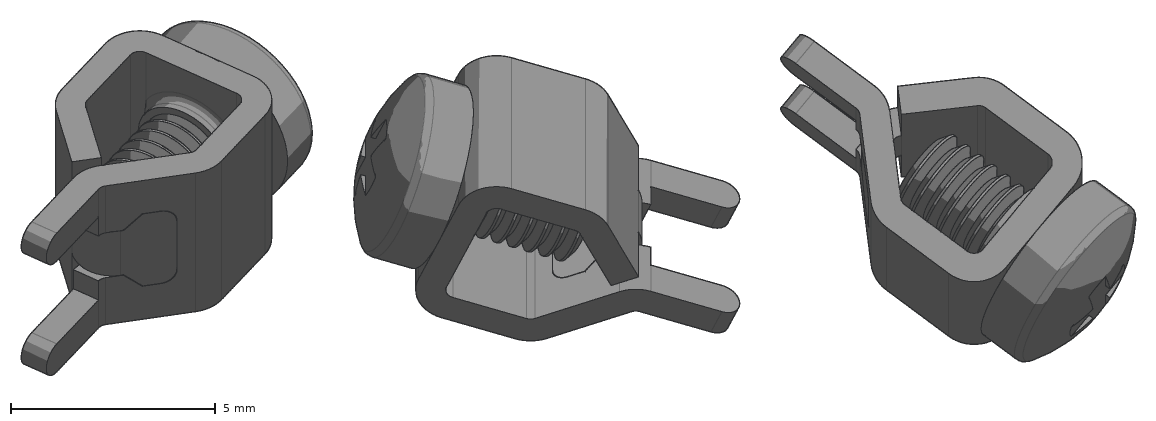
import cadquery as cq
import math


width = 4.66
sheet = 0.735
inner_bend = 0.27
outer_bend = inner_bend + sheet
half_width = width / 2
side_end = 2.94
along = math.cos(math.radians(45))
bend_x = half_width - outer_bend

leg_width = 0.94
leg_tip = 7.765
leg_bend_x = sheet / 2 + inner_bend

neck_half = 0.74
neck_straight = 0.08
head_half = 1.21
flare_length = 0.47
tab_reach = 1.4
tab_corner = 0.41
lock_gap = 0.01

arm_offset = bend_x + side_end + 2 * outer_bend * along
leg_bend_y = leg_bend_x - 2 * inner_bend * along - arm_offset
tab_bend_y = 2 * outer_bend * along - arm_offset

collar_radius = 1.31
collar_end = 1.1
collar_fillet = 0.2

thread_radius = 1.16
root_radius = 0.93
first_root = 1.24
screw_end = 3.72
thread_turns = 6
pitch = (screw_end - first_root) / thread_turns
crest_flat = 0.07
flank = (pitch - crest_flat) / 2
hole_radius = root_radius + (thread_radius - root_radius) * (first_root - collar_end) / flank
dome_radius = 3.87
dome_apex = 1.93
head_fillet = 0.23
slot_width = 0.67
slot_floor = 1.78


def polar(center, radius, degrees):
    """Point on a circle in the XY plane."""
    angle = math.radians(degrees)
    return (center[0] + radius * math.cos(angle), center[1] + radius * math.sin(angle))


def extrude_strip(outline):
    """Extrude an outline in the XY plane over the full clip height, centred on Z = 0."""
    return outline.close().extrude(half_width, both=True)


def make_bend(center, start_degrees, end_degrees):
    """Sector of strip bent around a centre in the XY plane."""
    middle = (start_degrees + end_degrees) / 2
    return extrude_strip(
        cq.Workplane("XY")
        .moveTo(*polar(center, outer_bend, start_degrees))
        .threePointArc(polar(center, outer_bend, middle), polar(center, outer_bend, end_degrees))
        .lineTo(*polar(center, inner_bend, end_degrees))
        .threePointArc(polar(center, inner_bend, middle), polar(center, inner_bend, start_degrees))
    )


def make_arm(start_center, end_outer, end_inner):
    """Straight sloping strip on the right, from the side bend down to two end points."""
    return extrude_strip(
        cq.Workplane("XY")
        .moveTo(*polar(start_center, outer_bend, -45))
        .lineTo(*end_outer)
        .lineTo(*end_inner)
        .lineTo(*polar(start_center, inner_bend, -45))
    )


def make_side():
    """Right half of the back plate with its corner, side wall and lower bend."""
    back = cq.Workplane("XY").box(bend_x, sheet, width, centered=(False, False, True))
    back = back.translate((0, -sheet, 0))
    wall = cq.Workplane("XY").box(sheet, side_end - outer_bend, width, centered=(False, False, True))
    wall = wall.translate((half_width - sheet, -side_end, 0))
    corner = make_bend((bend_x, -outer_bend), 0, 90)
    lower_bend = make_bend((bend_x, -side_end), -45, 0)
    return back.union(corner).union(wall).union(lower_bend)


def make_lock_prism(gap):
    """T-shaped tab outline, grown by a gap, as a prism square to the right arm."""
    plane = cq.Plane(
        origin=(outer_bend * along, tab_bend_y - outer_bend * along, 0),
        xDir=(along, along, 0),
        normal=(along, -along, 0),
    )
    neck_start = -2 * outer_bend
    flare_start = neck_straight - gap
    head_start = neck_straight + flare_length - gap
    prism = (
        cq.Workplane(plane)
        .moveTo(neck_start, -neck_half - gap)
        .lineTo(flare_start, -neck_half - gap)
        .lineTo(head_start, -head_half - gap)
        .lineTo(tab_reach + gap, -head_half - gap)
        .lineTo(tab_reach + gap, head_half + gap)
        .lineTo(head_start, head_half + gap)
        .lineTo(flare_start, neck_half + gap)
        .lineTo(neck_start, neck_half + gap)
        .close()
        .extrude(2 * outer_bend, both=True)
    )
    return prism.faces(">(1, 1, 0)").edges("|(1, -1, 0)").fillet(tab_corner)


def make_leg(side):
    """Pin leg with a full-round tip at the top (side = 1) or bottom (side = -1) edge of the clip."""
    tip_radius = leg_width / 2
    straight_length = leg_tip - tip_radius + leg_bend_y
    bar = cq.Workplane("XY").box(sheet, straight_length, leg_width)
    bar = bar.translate((0, leg_bend_y - straight_length / 2, 0))
    tip = cq.Workplane("YZ").center(tip_radius - leg_tip, 0).circle(tip_radius).extrude(sheet / 2, both=True)
    return bar.union(tip).translate((0, 0, side * (half_width - tip_radius)))


def make_collar():
    """Collar around the screw hole, blended into the flat of the back plate by a concave fillet."""
    blend_radius = collar_radius + collar_fillet
    blend_middle = polar((blend_radius, -sheet - collar_fillet), collar_fillet, 135)
    flared_collar = (
        cq.Workplane("XY")
        .moveTo(0, -sheet / 2)
        .lineTo(blend_radius, -sheet / 2)
        .lineTo(blend_radius, -sheet)
        .threePointArc(blend_middle, (collar_radius, -sheet - collar_fillet))
        .lineTo(collar_radius, -collar_end)
        .lineTo(0, -collar_end)
        .close()
        .revolve(360, (0, 0), (0, 1))
    )
    flat_zone = cq.Workplane("XY").box(2 * bend_x, 2 * collar_end, width)
    return flared_collar.intersect(flat_zone)


def make_clip():
    """Bent strip with its collar, locking tab and legs, before the screw hole is opened."""
    side_center = (bend_x, -side_end)
    leg_center = (leg_bend_x, leg_bend_y)
    tab_center = (0, tab_bend_y)

    right_arm = make_arm(side_center, polar(leg_center, inner_bend, 135), polar(leg_center, outer_bend, 135))
    right_arm = right_arm.union(make_bend(leg_center, 135, 180)).cut(make_lock_prism(lock_gap))

    left_end = (polar(tab_center, outer_bend, -45), polar(tab_center, inner_bend, -45))
    left_arm = make_arm(side_center, *left_end).mirror("YZ")
    tab_bend = make_bend(tab_center, 225, 315)
    tab_head = make_arm(side_center, *left_end)
    tab = tab_bend.union(tab_head).intersect(make_lock_prism(0))

    right_side = make_side()
    clip = right_side.union(right_side.mirror("YZ")).union(make_collar())
    clip = clip.union(right_arm).union(left_arm).union(tab)
    for side in (-1, 1):
        clip = clip.union(make_leg(side))
    return clip


def make_head():
    """Domed screw head with a rounded rim and a cross slot."""
    dome_center_y = dome_apex - dome_radius
    rim_y = dome_center_y + math.sqrt(dome_radius**2 - half_width**2)
    rim_angle = math.degrees(math.acos(half_width / dome_radius))
    dome_middle = polar((0, dome_center_y), dome_radius, (90 + rim_angle) / 2)
    head = (
        cq.Workplane("XY")
        .lineTo(half_width, 0)
        .lineTo(half_width, rim_y)
        .threePointArc(dome_middle, (0, dome_apex))
        .close()
        .revolve(360, (0, 0), (0, 1))
    )
    rim = cq.selectors.NearestToPointSelector((0, rim_y, 0))
    head = head.edges(rim).fillet(head_fillet)
    slot_height = dome_apex - slot_floor
    slot = cq.Workplane("XY").box(slot_width, slot_height, width)
    slot = slot.translate((0, slot_floor + slot_height / 2, 0))
    return head.cut(slot).cut(slot.rotate((0, 0, 0), (0, 1, 0), 90))


def make_shank():
    """Plain shank followed by a thread of equal V-shaped ring grooves."""
    profile = cq.Workplane("XY").lineTo(hole_radius, 0).lineTo(hole_radius, -collar_end)
    profile = profile.lineTo(root_radius, -first_root)
    for turn in range(thread_turns):
        root = -first_root - turn * pitch
        profile = (
            profile.lineTo(thread_radius, root - flank)
            .lineTo(thread_radius, root - flank - crest_flat)
            .lineTo(root_radius, root - pitch)
        )
    return profile.lineTo(0, -screw_end).close().revolve(360, (0, 0), (0, 1))


screw = make_head().union(make_shank())
clip = make_clip().cut(screw)

result = cq.Compound.makeCompound([clip.solids().val(), screw.solids().val()])